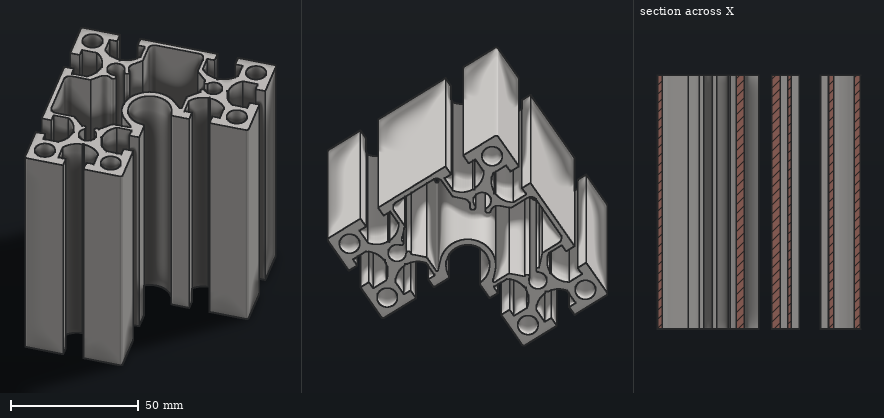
import cadquery as cq
import math

LENGTH = 100.0
CELL = 40.0
HALF_CELL = CELL / 2
CORNER_RADIUS = 1.0

SLOT_MOUTH = 8.3
SLOT_WIDTH = 14.5
LIP_THICKNESS = 4.0
SLOT_DEPTH = 14.0
SLOT_FLOOR_RADIUS = 8.7
NOTCH_WIDTH = 0.9
NOTCH_DEPTH = 0.5

CORNER_HOLE_DIAMETER = 8.0
CORNER_HOLE_INSET = 6.5

PORT_RADIUS = 3.5
BEAD_RADIUS = 1.0
BEAD_ANGLE = 37.0
HOOK_ANGLE = 42.0
HOOK_BEAD_RADIUS = 1.1
HOOK_FILLET = 3.0

BORE_OFFSET = 0.4
BORE_RADIUS = 8.6
BORE_WALL = 2.4

OUTER_WALL = 2.0
SLOT_WEB = 1.5
CAVITY_FILLET = 2.5
CREVICE_FILLET = 0.5
WEB_OFFSET = 0.9

CENTRES = {
    "corner": (-HALF_CELL, HALF_CELL),
    "right": (HALF_CELL, HALF_CELL),
    "lower": (-HALF_CELL, -HALF_CELL),
}


def mirrored(point):
    """Reflect a point in the symmetry plane y = -x of the profile."""
    x, y = point
    return (-y, -x)


def fillet_at(solid, points, radius):
    """Round the lengthwise edges that pass through the given points."""
    for x, y in points:
        edge = cq.selectors.NearestToPointSelector((x, y, LENGTH / 2))
        solid = solid.edges("|Z").edges(edge).fillet(radius)
    return solid


def cylinder(centre, radius):
    return cq.Workplane("XY").center(*centre).circle(radius).extrude(LENGTH)


def make_blank():
    outline = [(-CELL, -CELL), (0, -CELL), (0, 0), (CELL, 0), (CELL, CELL), (-CELL, CELL)]
    blank = cq.Workplane("XY").polyline(outline).close().extrude(LENGTH)
    outer_corners = [p for p in outline if p != (0, 0)]
    return fillet_at(blank, outer_corners, CORNER_RADIUS)


def make_slot(centre, angle):
    """T-slot of one cell, opening toward the direction at the given angle."""
    floor = HALF_CELL - SLOT_DEPTH
    arc_centre = floor + SLOT_FLOOR_RADIUS
    half_width = SLOT_WIDTH / 2
    half_mouth = SLOT_MOUTH / 2
    wall_end = arc_centre - math.sqrt(SLOT_FLOOR_RADIUS**2 - half_width**2)
    lip = HALF_CELL - LIP_THICKNESS
    slot = (
        cq.Workplane("XY")
        .moveTo(HALF_CELL, -half_mouth)
        .lineTo(lip, -half_mouth)
        .lineTo(lip, -half_width)
        .lineTo(wall_end, -half_width)
        .threePointArc((floor, 0), (wall_end, half_width))
        .lineTo(lip, half_width)
        .lineTo(lip, half_mouth)
        .lineTo(HALF_CELL, half_mouth)
        .close()
        .extrude(LENGTH)
    )
    notch_slope = NOTCH_WIDTH / 2 / NOTCH_DEPTH
    notch_run = 2 * NOTCH_DEPTH
    notch_tip = floor - NOTCH_DEPTH
    notch = (
        cq.Workplane("XY")
        .moveTo(notch_tip, 0)
        .lineTo(notch_tip + notch_run, -notch_run * notch_slope)
        .lineTo(notch_tip + notch_run, notch_run * notch_slope)
        .close()
        .extrude(LENGTH)
    )
    return slot.union(notch).rotate((0, 0, 0), (0, 0, 1), angle).translate((*centre, 0))


def make_cavity():
    wall = CELL - OUTER_WALL
    side = HALF_CELL - SLOT_WIDTH / 2 - SLOT_WEB
    bore_outer = BORE_RADIUS + BORE_WALL
    tangent = bore_outer * math.sqrt(0.5)
    bend = HALF_CELL - side - WEB_OFFSET

    bore_tangent = (tangent - BORE_OFFSET, tangent + BORE_OFFSET)
    crevice = (side, sum(bore_tangent) - side)
    right_half = [
        (-side, HALF_CELL + bend),
        (-side, wall),
        (side, wall),
        (side, HALF_CELL + bend),
        (HALF_CELL - WEB_OFFSET, HALF_CELL),
        (side, HALF_CELL - bend),
        crevice,
        bore_tangent,
    ]
    lower_half = [mirrored(p) for p in reversed(right_half)]
    bore_far_point = (-BORE_OFFSET - tangent, BORE_OFFSET + tangent)
    cavity = (
        cq.Workplane("XY")
        .polyline(right_half)
        .threePointArc(bore_far_point, lower_half[0])
        .polyline(lower_half[1:], includeCurrent=True)
        .close()
        .extrude(LENGTH)
    )
    wall_corners = [(-side, wall), (side, wall)]
    cavity = fillet_at(cavity, wall_corners + [mirrored(p) for p in wall_corners], CAVITY_FILLET)
    return fillet_at(cavity, [crevice, mirrored(crevice)], CREVICE_FILLET)


def bead_centre(centre, angle, radius):
    """Centre of a bead that touches the circle of the port from outside."""
    x, y = centre
    orbit = PORT_RADIUS + radius
    return (
        x + orbit * math.cos(math.radians(angle)),
        y + orbit * math.sin(math.radians(angle)),
    )


def make_hook(side):
    """Arm beside the corner cell's port, built with the mouth facing +X and then turned.

    The web face is the line x = face. The arm runs from it along the port to the bead
    and blends into the web with a concave fillet.
    """
    face = WEB_OFFSET * math.sqrt(0.5)
    bead_x, bead_y = bead_centre((0, 0), HOOK_ANGLE, HOOK_BEAD_RADIUS)
    blend_x = face + HOOK_FILLET
    blend_y = bead_y + math.sqrt((HOOK_BEAD_RADIUS + HOOK_FILLET) ** 2 - (blend_x - bead_x) ** 2)
    share = HOOK_BEAD_RADIUS / (HOOK_BEAD_RADIUS + HOOK_FILLET)
    touch = (bead_x + share * (blend_x - bead_x), bead_y + share * (blend_y - bead_y))
    touch_angle = math.atan2(touch[1] - blend_y, touch[0] - blend_x)
    mid_angle = (touch_angle - math.pi) / 2
    blend_mid = (
        blend_x + HOOK_FILLET * math.cos(mid_angle),
        blend_y + HOOK_FILLET * math.sin(mid_angle),
    )
    arm = (
        cq.Workplane("XY")
        .moveTo(0, 0)
        .lineTo(0, blend_y)
        .lineTo(face, blend_y)
        .threePointArc(blend_mid, touch)
        .lineTo(bead_x, bead_y)
        .close()
        .extrude(LENGTH)
        .union(cylinder((bead_x, bead_y), HOOK_BEAD_RADIUS))
    )
    if side < 0:
        arm = arm.mirror("XZ")
    return arm.rotate((0, 0, 0), (0, 0, 1), -45).translate((*CENTRES["corner"], 0))


profile = make_blank()

OPEN_FACES = {"corner": (90, 180), "right": (0, 90, 270), "lower": (0, 180, 270)}
for cell, angles in OPEN_FACES.items():
    for angle in angles:
        profile = profile.cut(make_slot(CENTRES[cell], angle))

far = CELL - CORNER_HOLE_INSET
near = CORNER_HOLE_INSET
for hole in [(-far, far), (far, far), (far, near), (-near, -far), (-far, -far)]:
    profile = profile.cut(cylinder(hole, CORNER_HOLE_DIAMETER / 2))

profile = profile.cut(make_cavity())
profile = profile.cut(cylinder((-BORE_OFFSET, BORE_OFFSET), BORE_RADIUS))
bore_end = math.sqrt(BORE_RADIUS**2 - BORE_OFFSET**2) - BORE_OFFSET
profile = fillet_at(profile, [(bore_end, 0), (0, -bore_end)], CORNER_RADIUS)

profile = profile.union(make_hook(1)).union(make_hook(-1))
for centre in CENTRES.values():
    profile = profile.cut(cylinder(centre, PORT_RADIUS))
MOUTH_DIRECTIONS = {"right": 180, "lower": 90}
for cell, direction in MOUTH_DIRECTIONS.items():
    for side in (-1, 1):
        bead = bead_centre(CENTRES[cell], direction + side * BEAD_ANGLE, BEAD_RADIUS)
        profile = profile.union(cylinder(bead, BEAD_RADIUS))

result = profile